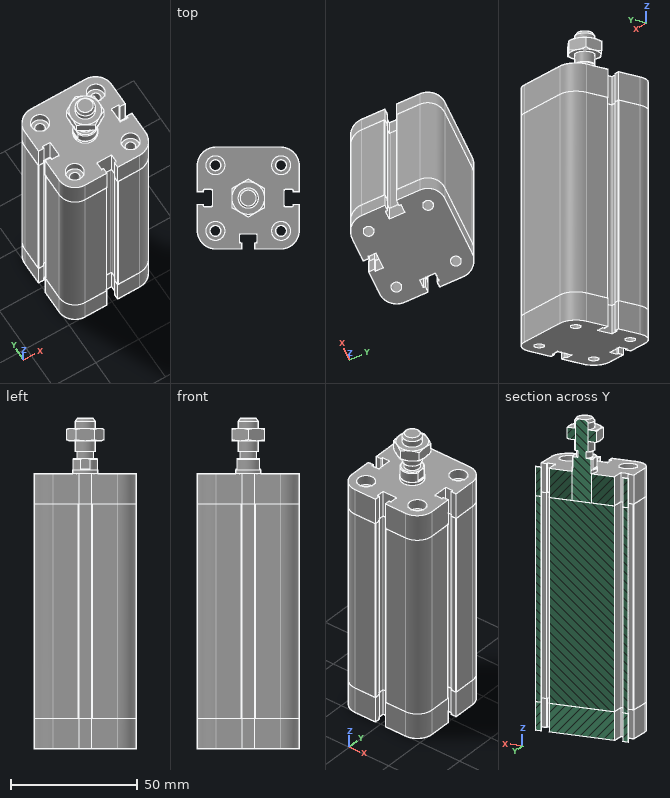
import cadquery as cq
import math

side = 40.5
corner_radius = 7.5
cap_height = 12.0
housing_height = 109.0
overall_height = 131.0
tube_height = housing_height - 2 * cap_height
tube_top = housing_height - cap_height

slot_depth = 6.0
slot_mouth_depth = 2.5
slot_inner_width = 6.8
slot_mouth_width = 5.0
tube_slot_corner_radius = 0.5
tube_lip_chamfer = 0.3

screw_spacing = 26.0
screw_hole_diameter = 4.2
counterbore_diameter = 7.5
counterbore_depth = 4.4

shaft_diameter = 10.0
shaft_height = 1.4
head_diameter = 9.8
head_flats = 9.0
head_height = 4.7
head_chamfer = 0.4
flat_start = 0.4
thread_tip_diameter = 6.25
neck_diameter = 6.7
neck_height = 2.6
thread_diameter = 8.0
thread_chamfer_height = 1.25

nut_flats = 13.0
nut_height = 5.0
nut_top = overall_height - 4.0
nut_bottom = nut_top - nut_height
nut_face_diameter = 12.9
nut_chamfer_height = 0.5


def t_slot(height, slot_corner_radius):
    """T-slot cutter open on the -Y side, from Z = 0 up to height."""
    floor_y = slot_depth - side / 2
    inner_depth = slot_depth - slot_mouth_depth
    mouth = (
        cq.Workplane("XY")
        .center(0, floor_y - slot_depth / 2)
        .rect(slot_mouth_width, slot_depth)
        .extrude(height)
    )
    inner = (
        cq.Workplane("XY")
        .center(0, floor_y - inner_depth / 2)
        .rect(slot_inner_width, inner_depth)
        .extrude(height)
    )
    if slot_corner_radius > 0:
        inner = inner.edges("|Z").fillet(slot_corner_radius)
    return mouth.union(inner)


def profile_block(height, slot_corner_radius=0):
    """Square block with rounded corners, three T-slots and four screw holes."""
    block = cq.Workplane("XY").rect(side, side).extrude(height).edges("|Z").fillet(corner_radius)
    cutter = t_slot(height, slot_corner_radius)
    for angle in (-90, 0, 90):
        block = block.cut(cutter.rotate((0, 0, 0), (0, 0, 1), angle))
    return (
        block.faces(">Z")
        .workplane(origin=(0, 0, height))
        .rect(screw_spacing, screw_spacing, forConstruction=True)
        .vertices()
        .hole(screw_hole_diameter)
    )


def make_rear_cap():
    """Plain cap with through holes only."""
    return profile_block(cap_height)


def make_tube():
    """Tube with the inside corners of its slots rounded and their outer lips chamfered."""
    tube = profile_block(tube_height, tube_slot_corner_radius)
    pick_margin = 2 * tube_lip_chamfer
    face = side / 2
    lip_offset = slot_mouth_width / 2
    lip_points = [(-lip_offset, -face), (lip_offset, -face)]
    for direction in (-1, 1):
        lip_points += [(direction * face, -lip_offset), (direction * face, lip_offset)]
    for x, y in lip_points:
        lip_edge = cq.selectors.BoxSelector(
            (x - pick_margin, y - pick_margin, 0),
            (x + pick_margin, y + pick_margin, tube_height),
        )
        tube = tube.edges("|Z").edges(lip_edge).chamfer(tube_lip_chamfer)
    return tube.translate((0, 0, cap_height))


def make_front_cap():
    """Cap with counterbored screw holes and a bore for the rod."""
    cap = (
        profile_block(cap_height)
        .faces(">Z")
        .workplane(origin=(0, 0, cap_height))
        .rect(screw_spacing, screw_spacing, forConstruction=True)
        .vertices()
        .cboreHole(screw_hole_diameter, counterbore_diameter, counterbore_depth)
    )
    bore = cq.Workplane("XY").circle(shaft_diameter / 2).extrude(cap_height)
    return cap.cut(bore).translate((0, 0, tube_top))


def make_rod():
    """Shaft, head with two wrench flats, neck and threaded end."""
    head_bottom = housing_height + shaft_height
    head_top = head_bottom + head_height
    neck_top = head_top + neck_height
    chamfer_bottom = overall_height - thread_chamfer_height
    rod = (
        cq.Workplane("XZ")
        .moveTo(0, tube_top)
        .lineTo(shaft_diameter / 2, tube_top)
        .lineTo(shaft_diameter / 2, head_bottom)
        .lineTo(head_diameter / 2, head_bottom)
        .lineTo(head_diameter / 2, head_top - head_chamfer)
        .lineTo(head_diameter / 2 - head_chamfer, head_top)
        .lineTo(neck_diameter / 2, head_top)
        .lineTo(neck_diameter / 2, neck_top)
        .lineTo(thread_diameter / 2, neck_top)
        .lineTo(thread_diameter / 2, chamfer_bottom)
        .lineTo(thread_tip_diameter / 2, overall_height)
        .lineTo(0, overall_height)
        .close()
        .revolve(360, (0, 0, 0), (0, 1, 0))
    )
    flats_height = head_height - flat_start
    for direction in (-1, 1):
        beyond_flat = (
            cq.Workplane("XY", origin=(0, 0, head_bottom + flat_start))
            .center(direction * head_flats, 0)
            .rect(head_flats, shaft_diameter)
            .extrude(flats_height)
        )
        rod = rod.cut(beyond_flat)
    return rod


def make_nut():
    """Hex nut with two flats facing X and turned corners on both faces."""
    blank = (
        cq.Workplane("XY", origin=(0, 0, nut_bottom))
        .polygon(6, nut_flats, circumscribed=True)
        .circle(thread_diameter / 2)
        .extrude(nut_height)
    )
    face_radius = nut_face_diameter / 2
    tip_radius = nut_flats / math.sqrt(3)
    turned = (
        cq.Workplane("XZ")
        .moveTo(0, nut_bottom)
        .lineTo(face_radius, nut_bottom)
        .lineTo(tip_radius, nut_bottom + nut_chamfer_height)
        .lineTo(tip_radius, nut_top - nut_chamfer_height)
        .lineTo(face_radius, nut_top)
        .lineTo(0, nut_top)
        .close()
        .revolve(360, (0, 0, 0), (0, 1, 0))
    )
    return blank.intersect(turned)


rear_cap = make_rear_cap()
tube = make_tube()
front_cap = make_front_cap()
rod = make_rod()
nut = make_nut()

result = cq.Compound.makeCompound([
    rear_cap.val(),
    tube.val(),
    front_cap.val(),
    rod.val(),
    nut.val(),
])